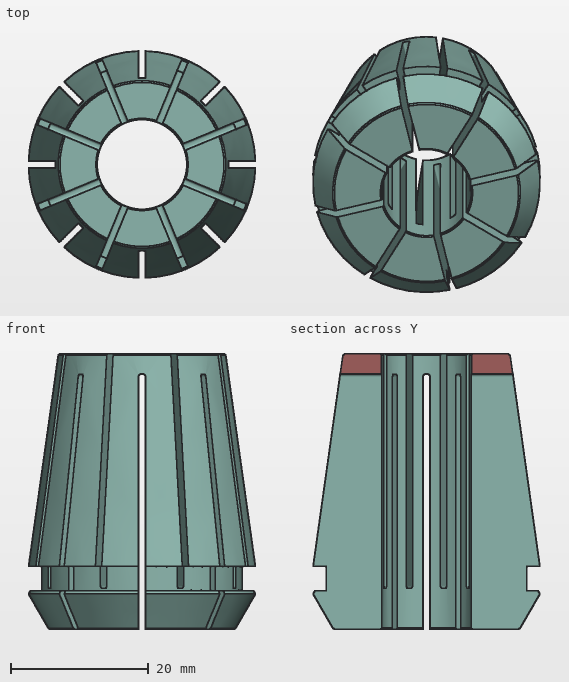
import cadquery as cq
import math

height = 40.0
bore_diameter = 13.0
largest_diameter = 32.95

taper_bottom = 9.1
taper_angle = 8.0
top_edge_chamfer = 0.25

groove_diameter = 29.1
groove_corner_radius = 0.1
flange_top = 5.6
flange_rim = 5.1
flange_top_diameter = 32.4
nut_cone_angle = 30.0
bottom_edge_chamfer = 0.15
bore_edge_chamfer = 0.2

slot_width = 1.0
slot_corner_radius = 0.4
slots_per_end = 8
slot_spacing = 360.0 / slots_per_end
lower_slot_end = 37.05
upper_slot_end = 5.9

bore_radius = bore_diameter / 2
outer_radius = largest_diameter / 2
groove_radius = groove_diameter / 2
nut_cone_slope = math.tan(math.radians(nut_cone_angle))
taper_slope = math.tan(math.radians(taper_angle))


def nut_cone_radius(z):
    """Radius of the lower cone, which widens upward to the flange rim."""
    return outer_radius - (flange_rim - z) * nut_cone_slope


def taper_radius(z):
    """Radius of the clamping taper, which narrows toward the top."""
    return outer_radius - (z - taper_bottom) * taper_slope


def make_body():
    """Revolve the half section, in radius and height, around the Z axis."""
    taper_edge = height - top_edge_chamfer
    groove_side = groove_radius + groove_corner_radius
    half_section = (
        cq.Workplane("XZ")
        .moveTo(bore_radius + bore_edge_chamfer, 0)
        .lineTo(nut_cone_radius(0) - bottom_edge_chamfer, 0)
        .lineTo(nut_cone_radius(bottom_edge_chamfer), bottom_edge_chamfer)
        .lineTo(outer_radius, flange_rim)
        .lineTo(flange_top_diameter / 2, flange_top)
        .lineTo(groove_side, flange_top)
        .tangentArcPoint((groove_radius, flange_top + groove_corner_radius), relative=False)
        .lineTo(groove_radius, taper_bottom - groove_corner_radius)
        .tangentArcPoint((groove_side, taper_bottom), relative=False)
        .lineTo(outer_radius, taper_bottom)
        .lineTo(taper_radius(taper_edge), taper_edge)
        .lineTo(taper_radius(height) - top_edge_chamfer, height)
        .lineTo(bore_radius + bore_edge_chamfer, height)
        .lineTo(bore_radius, height - bore_edge_chamfer)
        .lineTo(bore_radius, bore_edge_chamfer)
        .close()
    )
    return half_section.revolve(360, (0, 0), (0, 1))


def slot_cutter(bottom, top, closed_end, angle):
    """Radial slot on one side of the axis, with rounded corners at its closed end."""
    return (
        cq.Workplane("XY")
        .box(largest_diameter, slot_width, top - bottom, centered=(False, True, False))
        .faces(closed_end)
        .edges("|X")
        .fillet(slot_corner_radius)
        .translate((0, 0, bottom))
        .rotate((0, 0, 0), (0, 0, 1), angle)
    )


result = make_body()
for index in range(slots_per_end):
    lower_angle = index * slot_spacing
    upper_angle = lower_angle + slot_spacing / 2
    result = result.cut(slot_cutter(0, lower_slot_end, ">Z", lower_angle))
    result = result.cut(slot_cutter(upper_slot_end, height, "<Z", upper_angle))